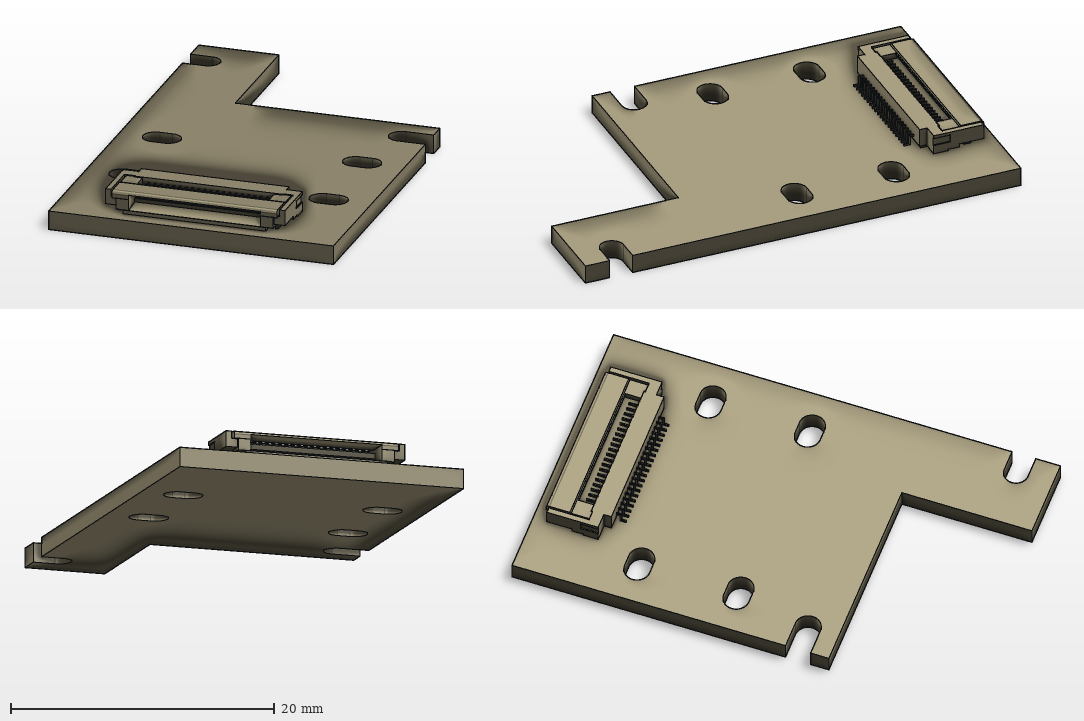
import cadquery as cq

board_width = 22.8
board_length = 36.1
board_thickness = 1.5
arm_width = 6.43
shoulder_y = 25.6
board_left = -board_width / 2
board_right = board_width / 2

slot_width = 2.02
slot_length = 3.05
slot_x = 8.0
slot_rows = (9.05, 17.08)
left_notch_y = 33.15
left_notch_depth = 2.7
left_notch_width = 1.9
right_notch_y = 23.1
right_notch_depth = 3.25

connector_x = -0.07
connector_height = 1.88
wing_half_width = 7.2
wing_front_y = 1.25
wing_back_y = 5.4
wing_front_bottom = 0.65
wing_middle_bottom = 0.4
wing_back_bottom = 0.3
wing_step_y = 3.3
wing_back_step_y = 4.2
rear_half_width = 5.92
rear_y = 6.03
rear_bottom = 0.4
front_y = 1.0
base_half_width = 5.7
base_bottom = 0.1
base_back_y = 5.85

bar_half_width = 6.6
bar_back_y = 2.92
bar_bottom = 1.3
bar_edge_radius = 0.25
bar_back_slope = 0.1
leg_half_width = 6.28
leg_setback = 0.05
mouth_half_width = 5.27
mouth_top = 1.65
mouth_floor = 1.35
ramp_back_y = 2.5
ramp_back_height = 0.58
step_back_y = 2.67
step_height = 0.85

recess_depth = 0.07
recess_back_y = 4.5
window_back_y = 4.4
window_front_y = 3.15

gap_width = 0.15

side_recess_front_y = 4.0
side_recess_bottom = 1.0
side_recess_top = 1.62
side_recess_depth = 0.1

contact_count = 20
contact_span = 9.5
contact_pitch = contact_span / (contact_count - 1)
contact_width = 0.1
contact_tip_y = 3.6
contact_top = 1.5
tail_end_y = 6.82
tail_bend_y = 6.45
tail_top = 0.83
tail_thickness = 0.15

tab_x = 6.28
tab_width = 0.18
tab_height = 0.47
tab_spans = ((1.95, 2.55), (3.72, 4.2))


def block(x_min, x_max, y_min, y_max, z_min, z_max):
    """Box given by its limits along each axis."""
    size = (x_max - x_min, y_max - y_min, z_max - z_min)
    return cq.Workplane("XY").box(*size, centered=False).translate((x_min, y_min, z_min))


def centred_block(half_width, y_min, y_max, z_min, z_max):
    """Box that is symmetric about X = 0."""
    return block(-half_width, half_width, y_min, y_max, z_min, z_max)


def side_extrusion(half_width, outline):
    """Prism with a (Y, Z) outline, symmetric about X = 0."""
    return cq.Workplane("YZ").polyline(outline).close().extrude(half_width, both=True)


def both_sides(shape):
    """The shape together with its mirror image across X = 0."""
    return shape.union(shape.mirror("YZ"))


def edge_notch(edge_x, y, depth, width):
    """Round-ended cutter that enters the board from a side edge."""
    return (
        cq.Workplane("XY")
        .center(edge_x, y)
        .slot2D(2 * depth, width)
        .extrude(board_thickness)
    )


def make_board():
    outline = [
        (board_left, 0),
        (board_right, 0),
        (board_right, shoulder_y),
        (board_left + arm_width, shoulder_y),
        (board_left + arm_width, board_length),
        (board_left, board_length),
    ]
    board = cq.Workplane("XY").polyline(outline).close().extrude(board_thickness)
    slot_centres = [(side * slot_x, y) for side in (-1, 1) for y in slot_rows]
    slots = (
        cq.Workplane("XY")
        .pushPoints(slot_centres)
        .slot2D(slot_length, slot_width)
        .extrude(board_thickness)
    )
    board = board.cut(slots)
    board = board.cut(edge_notch(board_left, left_notch_y, left_notch_depth, left_notch_width))
    return board.cut(edge_notch(board_right, right_notch_y, right_notch_depth, slot_width))


def housing_shell():
    wings = side_extrusion(
        wing_half_width,
        [
            (wing_front_y, wing_front_bottom),
            (wing_step_y, wing_front_bottom),
            (wing_step_y, wing_middle_bottom),
            (wing_back_step_y, wing_middle_bottom),
            (wing_back_step_y, wing_back_bottom),
            (wing_back_y, wing_back_bottom),
            (wing_back_y, connector_height),
            (wing_front_y, connector_height),
        ],
    )
    rear = centred_block(rear_half_width, wing_front_y, rear_y, rear_bottom, connector_height)
    base = centred_block(base_half_width, front_y, base_back_y, base_bottom, rear_bottom)
    legs = centred_block(leg_half_width, front_y + leg_setback, wing_back_y, rear_bottom, bar_bottom)
    bar = centred_block(bar_half_width, front_y, window_front_y, bar_bottom, connector_height)
    bar = bar.faces("<Y").edges(">Z").fillet(bar_edge_radius)
    return wings.union(rear).union(base).union(legs).union(bar)


def mouth_cutter():
    """Cable opening: a gentle lead-in ramp, two steps and a flat floor up to the window."""
    return side_extrusion(
        mouth_half_width,
        [
            (front_y, rear_bottom),
            (ramp_back_y, ramp_back_height),
            (ramp_back_y, step_height),
            (step_back_y, step_height),
            (step_back_y, mouth_floor),
            (window_back_y, mouth_floor),
            (window_back_y, mouth_top),
            (front_y, mouth_top),
        ],
    )


def make_housing():
    housing = housing_shell().cut(mouth_cutter())
    recess_floor = connector_height - recess_depth
    recess = side_extrusion(
        bar_half_width,
        [
            (bar_back_y, connector_height),
            (bar_back_y + bar_back_slope, recess_floor),
            (recess_back_y, recess_floor),
            (recess_back_y, connector_height),
        ],
    )
    recess = recess.cut(
        centred_block(rear_half_width, window_back_y, recess_back_y, recess_floor, connector_height)
    )
    window = centred_block(mouth_half_width, window_front_y, window_back_y, mouth_floor, connector_height)
    housing = housing.cut(recess).cut(window)
    gap_end_x = bar_half_width + gap_width
    gap = block(bar_half_width, gap_end_x, wing_front_y, recess_back_y, mouth_floor, connector_height)
    side_recess = block(
        wing_half_width - side_recess_depth,
        wing_half_width,
        side_recess_front_y,
        wing_back_y,
        side_recess_bottom,
        side_recess_top,
    )
    return housing.cut(both_sides(gap)).cut(both_sides(side_recess))


def make_contact(x):
    """Blade on the window floor joined to a solder tail behind the housing."""
    blade = block(
        x - contact_width / 2, x + contact_width / 2, contact_tip_y, window_back_y, mouth_floor, contact_top
    )
    tail_outline = [
        (rear_y, tail_top - tail_thickness),
        (tail_bend_y - tail_thickness, tail_top - tail_thickness),
        (tail_bend_y - tail_thickness, 0),
        (tail_end_y, 0),
        (tail_end_y, tail_thickness),
        (tail_bend_y, tail_thickness),
        (tail_bend_y, tail_top),
        (rear_y, tail_top),
    ]
    tail = side_extrusion(contact_width / 2, tail_outline).translate((x, 0, 0))
    return blade.union(tail)


def make_connector():
    connector = make_housing()
    for index in range(contact_count):
        x = index * contact_pitch - contact_span / 2
        connector = connector.union(make_contact(x))
    tab_inner_x = tab_x - tab_width / 2
    for tab_front, tab_back in tab_spans:
        tab = block(tab_inner_x, tab_inner_x + tab_width, tab_front, tab_back, 0, tab_height)
        connector = connector.union(both_sides(tab))
    return connector.translate((connector_x, 0, board_thickness))


board = make_board()
connector = make_connector()
result = cq.Compound.makeCompound([board.val(), connector.val()])